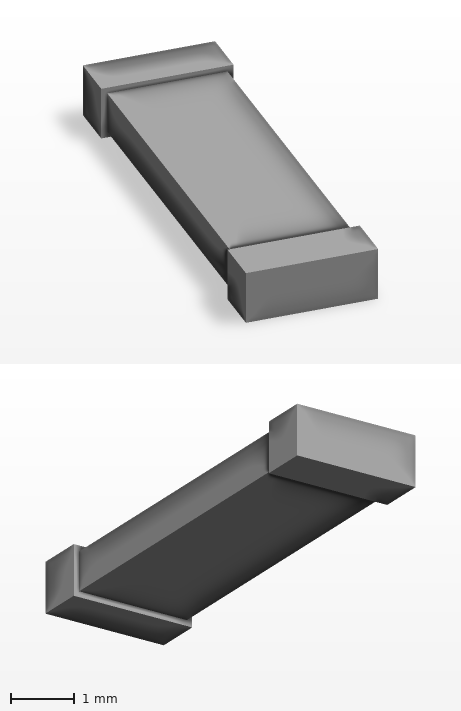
import cadquery as cq

LENGTH = 7.21
WIDTH = 2.21
HEIGHT = 0.89

CAP_LENGTH = 0.815
CAP_STEP = 0.1
CORE_LENGTH = LENGTH - 2 * CAP_LENGTH
CORE_WIDTH = WIDTH - 2 * CAP_STEP
CORE_HEIGHT = HEIGHT - 2 * CAP_STEP

BAND_LENGTH = 0.55
BAND_THICKNESS = 0.035
BAND_GAP = 0.555
BAND_X = -CORE_LENGTH / 2 + BAND_GAP + BAND_LENGTH / 2


def make_band():
    """Rectangular ring whose outside is flush with the core."""
    outside = cq.Workplane("XY").box(BAND_LENGTH, CORE_WIDTH, CORE_HEIGHT)
    inside = cq.Workplane("XY").box(
        BAND_LENGTH,
        CORE_WIDTH - 2 * BAND_THICKNESS,
        CORE_HEIGHT - 2 * BAND_THICKNESS,
    )
    return outside.cut(inside).translate((BAND_X, 0, 0))


def make_core(band):
    """Block between the caps, with a groove that matches the band."""
    return cq.Workplane("XY").box(CORE_LENGTH, CORE_WIDTH, CORE_HEIGHT).cut(band)


def make_cap(side):
    """Solid end cap; side is -1 for the -X end and +1 for the +X end."""
    cap_x = side * (LENGTH - CAP_LENGTH) / 2
    return cq.Workplane("XY").box(CAP_LENGTH, WIDTH, HEIGHT).translate((cap_x, 0, 0))


band = make_band()
core = make_core(band)
caps = [make_cap(side) for side in (-1, 1)]

result = cq.Compound.makeCompound([core.val(), band.val(), *[cap.val() for cap in caps]])